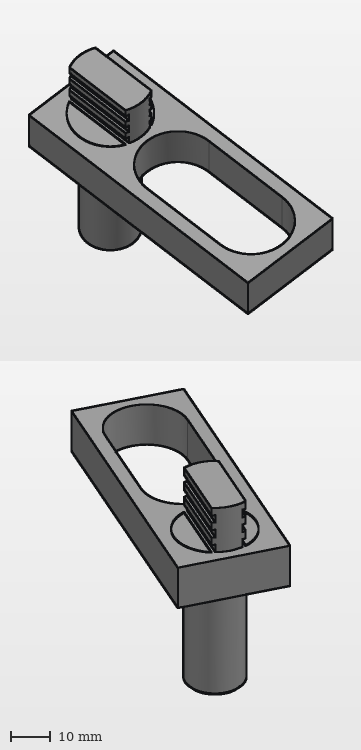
import cadquery as cq

plate_length = 78.0
plate_width = 30.0
plate_thickness = 12.0
mid_y = plate_width / 2

slot_length = 48.05
slot_width = 22.0
slot_left = 27.0

axis_x = 14.0
shank_diameter = 16.0
shank_length = 33.0
shank_chamfer = 1.0

tongue_diameter = 22.0
tongue_height = 13.2
tongue_width = 9.2
groove_depth = 0.9
groove_count = 3
groove_height = tongue_height / (2 * groove_count)

recess_depth = 0.2


def make_plate():
    plate = cq.Workplane("XY").box(
        plate_length, plate_width, plate_thickness, centered=False
    )
    slot = (
        cq.Workplane("XY")
        .center(slot_left + slot_length / 2, mid_y)
        .slot2D(slot_length, slot_width)
        .extrude(plate_thickness)
    )
    return plate.cut(slot)


def make_shank():
    return (
        cq.Workplane("XY")
        .center(axis_x, mid_y)
        .circle(shank_diameter / 2)
        .extrude(-shank_length)
        .faces("<Z")
        .chamfer(shank_chamfer)
    )


def make_tongue():
    base = cq.Workplane("XY", origin=(axis_x, mid_y, plate_thickness))
    cylinder = base.circle(tongue_diameter / 2).extrude(tongue_height)
    tongue = base.rect(tongue_diameter, tongue_width).extrude(tongue_height)
    tongue = tongue.intersect(cylinder)

    groove_offset = tongue_width / 2 - groove_depth / 2
    for level in range(groove_count):
        grooves = (
            base.workplane(offset=2 * level * groove_height)
            .pushPoints([(0, -groove_offset), (0, groove_offset)])
            .rect(tongue_diameter, groove_depth)
            .extrude(groove_height)
        )
        tongue = tongue.cut(grooves)
    return tongue


def make_recess():
    floor = cq.Workplane("XY", origin=(axis_x, mid_y, plate_thickness - recess_depth))
    disc = floor.circle(tongue_diameter / 2).extrude(recess_depth)
    strip = floor.rect(tongue_diameter, tongue_width).extrude(recess_depth)
    return disc.cut(strip)


result = make_plate().cut(make_recess()).union(make_shank()).union(make_tongue())